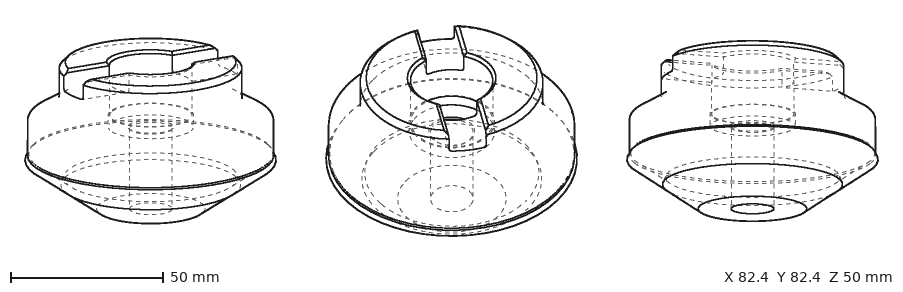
import cadquery as cq
import math

total_height = 50.0
shoulder_z = 31.0
ring_bottom_z = 8.2

boss_diameter = 60.0
rim_diameter = 80.77
shoulder_angle = 30.0
lower_cone_angle = 35.0
bottom_radius = 17.8
shoulder_fillet = 2.0
boss_chamfer = 2.0

bore_diameter = 27.0
bore_depth = 22.0
bore_land_depth = 18.0
relief_diameter = 28.0
bore_chamfer = 1.0
bolt_hole_diameter = 14.0
bolt_hole_chamfer = 0.5

slot_width = 12.4
slot_depth = 7.0
slot_chamfer_width = 1.2
slot_chamfer_depth = 1.0
slot_floor_fillet = 1.0

tip_radius = 41.19
nose_radius = 0.4
flank_angle = 28.0
ring_top_z = 18.8

boss_radius = boss_diameter / 2
rim_radius = rim_diameter / 2
bore_floor_z = total_height - bore_depth
relief_top_z = total_height - bore_land_depth
slot_floor_z = total_height - slot_depth
neck_z = shoulder_z + (rim_radius - boss_radius) * math.tan(math.radians(shoulder_angle))


def cone_height(radius):
    """Height of the lower cone surface at a given radius."""
    return (radius - bottom_radius) * math.tan(math.radians(lower_cone_angle))


def cone_radius(height):
    """Radius of the lower cone surface at a given height."""
    return bottom_radius + height / math.tan(math.radians(lower_cone_angle))


def make_ring():
    """Cutting ring: a tilted four-sided section with a rounded tip, revolved about Z."""
    cone = math.radians(lower_cone_angle)
    flank = math.radians(flank_angle)
    nose_r = tip_radius - nose_radius
    nose_z = cone_height(nose_r) + nose_radius / math.cos(cone)

    def on_nose(angle):
        return (nose_r + nose_radius * math.cos(angle), nose_z + nose_radius * math.sin(angle))

    cone_tangent = on_nose(cone - math.pi / 2)
    flank_tangent = on_nose(flank)
    inner_bottom = (cone_radius(ring_bottom_z), ring_bottom_z)
    flank_rise = ring_top_z - flank_tangent[1]
    flank_top = (flank_tangent[0] - flank_rise * math.tan(flank), ring_top_z)
    inner_top = (
        inner_bottom[0] + flank_top[0] - cone_tangent[0],
        inner_bottom[1] + flank_top[1] - cone_tangent[1],
    )
    return (
        cq.Workplane("XZ")
        .moveTo(*inner_bottom)
        .lineTo(*cone_tangent)
        .threePointArc(on_nose(0), flank_tangent)
        .lineTo(*flank_top)
        .lineTo(*inner_top)
        .close()
        .revolve(360, (0, 0), (0, 1))
    )


def make_holder_blank():
    """Revolved outside of the holder, with rounded shoulder and chamfered boss."""
    blank = (
        cq.Workplane("XZ")
        .moveTo(0, 0)
        .lineTo(bottom_radius, 0)
        .lineTo(rim_radius, cone_height(rim_radius))
        .lineTo(rim_radius, shoulder_z)
        .lineTo(boss_radius, neck_z)
        .lineTo(boss_radius, total_height)
        .lineTo(0, total_height)
        .close()
        .revolve(360, (0, 0), (0, 1))
    )
    shoulder_zone = cq.selectors.BoxSelector(
        (-rim_radius, -rim_radius, shoulder_z - shoulder_fillet),
        (rim_radius, rim_radius, neck_z + shoulder_fillet),
    )
    shoulder_edges = blank.edges("%CIRCLE").edges(shoulder_zone)
    return shoulder_edges.fillet(shoulder_fillet).faces(">Z").edges().chamfer(boss_chamfer)


def make_bore():
    """Stepped bore: chamfered seat for the arbor, a wider relief, then the bolt hole through the bottom."""
    bore_radius = bore_diameter / 2
    relief_radius = relief_diameter / 2
    hole_radius = bolt_hole_diameter / 2
    return (
        cq.Workplane("XZ")
        .moveTo(0, 0)
        .lineTo(hole_radius, 0)
        .lineTo(hole_radius, bore_floor_z - bolt_hole_chamfer)
        .lineTo(hole_radius + bolt_hole_chamfer, bore_floor_z)
        .lineTo(relief_radius, bore_floor_z)
        .lineTo(relief_radius, relief_top_z)
        .lineTo(bore_radius, relief_top_z)
        .lineTo(bore_radius, total_height - bore_chamfer)
        .lineTo(bore_radius + bore_chamfer, total_height)
        .lineTo(0, total_height)
        .close()
        .revolve(360, (0, 0), (0, 1))
    )


def make_slot():
    """Driving slot with rounded floor corners and chamfered top edges."""
    half = slot_width / 2
    chamfer_z = total_height - slot_chamfer_depth
    groove = (
        cq.Workplane("XZ")
        .moveTo(-half, slot_floor_z)
        .lineTo(half, slot_floor_z)
        .lineTo(half, chamfer_z)
        .lineTo(half + slot_chamfer_width, total_height)
        .lineTo(-half - slot_chamfer_width, total_height)
        .lineTo(-half, chamfer_z)
        .close()
        .extrude(boss_radius, both=True)
    )
    return groove.faces("<Z").edges("|Y").fillet(slot_floor_fillet)


ring = make_ring()
holder = make_holder_blank().cut(make_bore()).cut(make_slot()).cut(ring)

result = cq.Compound.makeCompound([holder.val(), ring.val()])